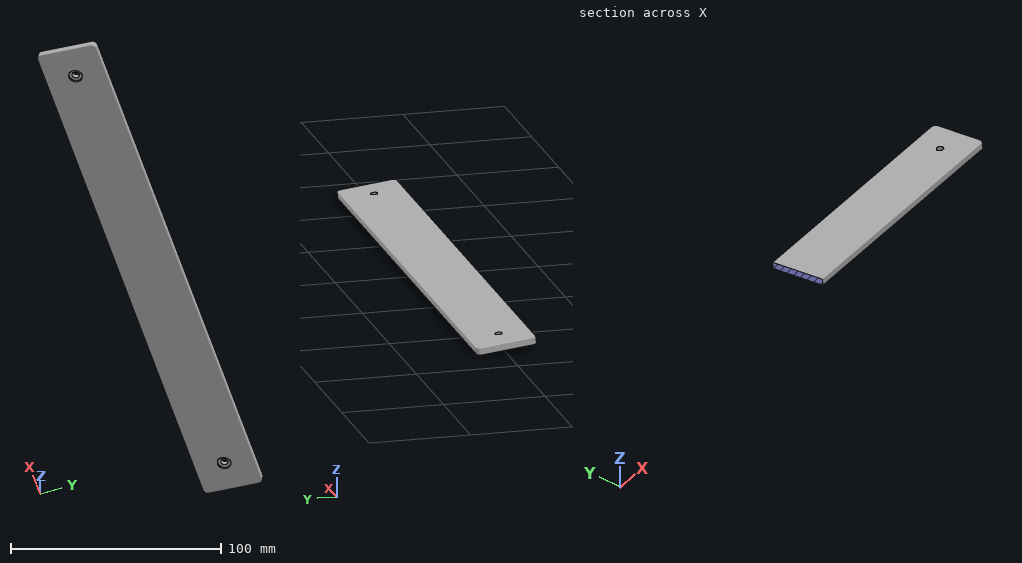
import cadquery as cq

length = 260.6
width = 30.0
thickness = 4.0
corner_radius = 2.5
rim_fillet = 0.5

hole_diameter = 3.5
counterbore_diameter = 6.5
counterbore_depth = 1.0
hole_end_distance = 15.5

tilt_angle = -7


def make_plate():
    """Flat bar with rounded corners and rounded top and bottom rims."""
    plate = cq.Workplane("XY").box(length, width, thickness)
    plate = plate.edges("|Z").fillet(corner_radius)
    return plate.faces("<Z or >Z").edges().fillet(rim_fillet)


def drill_screw_holes(plate):
    """Cut a counterbored through hole near each end, entering from below."""
    hole_offset = length / 2 - hole_end_distance
    return (
        plate.faces("<Z").workplane(origin=(0, 0, 0))
        .pushPoints([(-hole_offset, 0), (hole_offset, 0)])
        .cboreHole(hole_diameter, counterbore_diameter, counterbore_depth)
    )


flat_bar = drill_screw_holes(make_plate())
result = flat_bar.rotate((0, 0, 0), (1, 0, 0), tilt_angle)